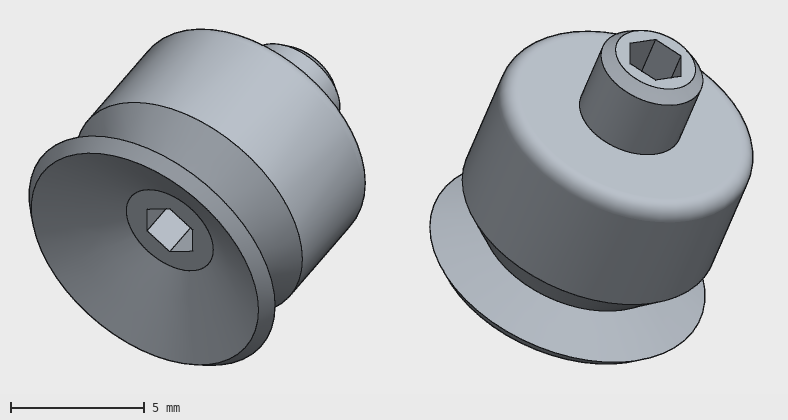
import cadquery as cq
import math

lip_edge_y = 0.51
neck_y = 1.51
body_start_y = 3.1
body_end_y = 8.0
total_length = 11.0

body_radius = 10.0 / 2
lip_radius = 10.84 / 2
neck_radius = 3.71
pin_radius = 4.0 / 2

body_fillet = 0.63
pin_chamfer = 0.43

recess_depth = 1.76
recess_floor_radius = 1.91
hex_across_flats = 2.0


def turned(outline):
    """Revolve a closed (radius, Y) outline about the Y axis."""
    return outline.close().revolve(360, (0, 0, 0), (0, 1, 0))


def make_body():
    """Flared lip, V-shaped neck, cylindrical body and chamfered pin."""
    fillet_start = (body_radius, body_end_y - body_fillet)
    fillet_end = (body_radius - body_fillet, body_end_y)
    diagonal = body_fillet * math.sqrt(0.5)
    fillet_middle = (fillet_end[0] + diagonal, fillet_start[1] + diagonal)
    outline = (
        cq.Workplane("XY")
        .lineTo(body_radius, 0)
        .lineTo(lip_radius, lip_edge_y)
        .lineTo(neck_radius, neck_y)
        .lineTo(body_radius, body_start_y)
        .lineTo(*fillet_start)
        .threePointArc(fillet_middle, fillet_end)
        .lineTo(pin_radius, body_end_y)
        .lineTo(pin_radius, total_length - pin_chamfer)
        .lineTo(pin_radius - pin_chamfer, total_length)
        .lineTo(0, total_length)
    )
    return turned(outline)


def make_recess():
    """Cone that narrows from the front rim to a flat floor."""
    outline = (
        cq.Workplane("XY")
        .lineTo(body_radius, 0)
        .lineTo(recess_floor_radius, recess_depth)
        .lineTo(0, recess_depth)
    )
    return turned(outline)


def make_hex_bore():
    """Hexagonal through bore with two corners on the Z axis."""
    across_corners = hex_across_flats / math.cos(math.radians(30))
    return (
        cq.Workplane("XZ")
        .transformed(rotate=(0, 0, 90))
        .polygon(6, across_corners)
        .extrude(-total_length)
    )


result = make_body().cut(make_recess()).cut(make_hex_bore())